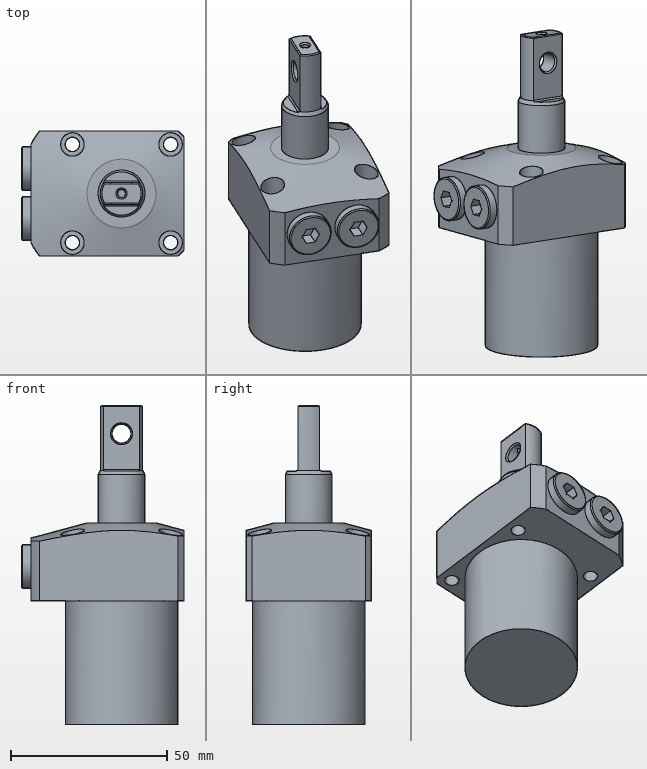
import cadquery as cq
import math

TOTAL_HEIGHT = 102.0
BARREL_DIAMETER = 36.0
BARREL_LENGTH = 39.5
FLANGE_THICKNESS = 25.0
FLANGE_TOP = BARREL_LENGTH + FLANGE_THICKNESS
FLANGE_LEFT = -29.0
FLANGE_RIGHT = 20.0
FLANGE_HALF_WIDTH = 20.0
LEFT_CORNER_RADIUS = 33.0
RIGHT_CORNER_RADIUS = 27.0

CROWN_FLAT_RADIUS = 11.0
CROWN_SLOPE = math.radians(15.0)
CROWN_MARGIN = 2.0

BOLT_OFFSET = 15.7
BOLT_HOLE_DIAMETER = 4.5
COUNTERBORE_DIAMETER = 7.5
BOLT_SEAT_HEIGHT = BARREL_LENGTH + 15.0

PLUG_DIAMETER = 14.0
PLUG_THICKNESS = 3.0
PLUG_CHAMFER = 0.4
PLUG_OFFSET = 8.0
PLUG_CENTRES = (-PLUG_OFFSET, PLUG_OFFSET)
PLUG_HEIGHT = BARREL_LENGTH + 11.0
HEX_SIDES = 6
HEX_ACROSS_FLATS = 5.0
HEX_DEPTH = 5.0
SHANK_DIAMETER = 10.0
SHANK_LENGTH = 8.0

ROD_RADIUS = 7.5
HEAD_RADIUS = 6.75
SHOULDER_START = 80.0
TAPER_ANGLE = math.radians(30.0)
SHOULDER_END = SHOULDER_START + (ROD_RADIUS - HEAD_RADIUS) / math.tan(TAPER_ANGLE)
TIP_CHAMFER_WIDTH = 0.5
TIP_CHAMFER_HEIGHT = TIP_CHAMFER_WIDTH * math.tan(TAPER_ANGLE)
TONGUE_HALF_THICKNESS = 3.5
TONGUE_BASE = 81.0
TONGUE_ROOT_BEVEL = 0.5
CROSS_HOLE_DIAMETER = 6.0
CROSS_HOLE_HEIGHT = 93.0
CROSS_HOLE_CHAMFER = 0.5
TIP_HOLE_DIAMETER = 2.5
TIP_HOLE_CHAMFER = 0.5
CHAMFER_ANGLE_DEGREES = 45.0


def flange_outline():
    """Rectangle whose four corners are cut by arcs about the rod axis."""
    left_y = math.sqrt(LEFT_CORNER_RADIUS**2 - FLANGE_LEFT**2)
    left_x = -math.sqrt(LEFT_CORNER_RADIUS**2 - FLANGE_HALF_WIDTH**2)
    right_y = math.sqrt(RIGHT_CORNER_RADIUS**2 - FLANGE_RIGHT**2)
    right_x = math.sqrt(RIGHT_CORNER_RADIUS**2 - FLANGE_HALF_WIDTH**2)

    def corner_middle(radius, x_sum, y_sum):
        """Middle of an arc about the rod axis, along the sum of its two end points."""
        length = math.hypot(x_sum, y_sum)
        return (radius * x_sum / length, radius * y_sum / length)

    left_sums = (FLANGE_LEFT + left_x, FLANGE_HALF_WIDTH + left_y)
    right_sums = (FLANGE_RIGHT + right_x, FLANGE_HALF_WIDTH + right_y)
    left_mid_x, left_mid_y = corner_middle(LEFT_CORNER_RADIUS, *left_sums)
    right_mid_x, right_mid_y = corner_middle(RIGHT_CORNER_RADIUS, *right_sums)
    return (
        cq.Workplane("XY", origin=(0, 0, BARREL_LENGTH))
        .moveTo(left_x, -FLANGE_HALF_WIDTH)
        .lineTo(right_x, -FLANGE_HALF_WIDTH)
        .threePointArc((right_mid_x, -right_mid_y), (FLANGE_RIGHT, -right_y))
        .lineTo(FLANGE_RIGHT, right_y)
        .threePointArc((right_mid_x, right_mid_y), (right_x, FLANGE_HALF_WIDTH))
        .lineTo(left_x, FLANGE_HALF_WIDTH)
        .threePointArc((left_mid_x, left_mid_y), (FLANGE_LEFT, left_y))
        .lineTo(FLANGE_LEFT, -left_y)
        .threePointArc((left_mid_x, -left_mid_y), (left_x, -FLANGE_HALF_WIDTH))
        .close()
    )


def crown_envelope():
    """Solid of revolution whose top is flat in the middle and conical outside."""
    outer_radius = LEFT_CORNER_RADIUS + CROWN_MARGIN
    rim_height = FLANGE_TOP - (outer_radius - CROWN_FLAT_RADIUS) * math.tan(CROWN_SLOPE)
    return (
        cq.Workplane("XZ")
        .polyline([
            (0, 0),
            (outer_radius, 0),
            (outer_radius, rim_height),
            (CROWN_FLAT_RADIUS, FLANGE_TOP),
            (0, FLANGE_TOP),
        ])
        .close()
        .revolve(360, (0, 0, 0), (0, 1, 0))
    )


def port_plane(y):
    """Plane on the port face at a plug centre, with its normal pointing out along -X."""
    return cq.Plane(origin=(FLANGE_LEFT, y, PLUG_HEIGHT), xDir=(0, -1, 0), normal=(-1, 0, 0))


def port_shank(y):
    """Cylinder inside the flange: the shank of a plug and also the port it fills."""
    return cq.Workplane(port_plane(y)).circle(SHANK_DIAMETER / 2).extrude(-SHANK_LENGTH)


def make_housing():
    """Barrel and crowned flange with four counterbored bolt holes and two ports."""
    flange = flange_outline().extrude(FLANGE_THICKNESS).intersect(crown_envelope())
    barrel = cq.Workplane("XY").circle(BARREL_DIAMETER / 2).extrude(BARREL_LENGTH)
    bolt_pattern = [(x, y) for x in (-BOLT_OFFSET, BOLT_OFFSET) for y in (-BOLT_OFFSET, BOLT_OFFSET)]
    bolt_holes = (
        cq.Workplane("XY", origin=(0, 0, BARREL_LENGTH))
        .pushPoints(bolt_pattern)
        .circle(BOLT_HOLE_DIAMETER / 2)
        .extrude(FLANGE_THICKNESS)
    )
    counterbores = (
        cq.Workplane("XY", origin=(0, 0, BOLT_SEAT_HEIGHT))
        .pushPoints(bolt_pattern)
        .circle(COUNTERBORE_DIAMETER / 2)
        .extrude(FLANGE_TOP - BOLT_SEAT_HEIGHT)
    )
    housing = flange.union(barrel).cut(bolt_holes).cut(counterbores)
    for y in PLUG_CENTRES:
        housing = housing.cut(port_shank(y))
    return housing


def make_plug(y):
    """Round port plug: a chamfered head with a hexagon socket, and a shank in the port."""
    hex_across_corners = HEX_ACROSS_FLATS / math.cos(math.pi / HEX_SIDES)
    head = (
        cq.Workplane(port_plane(y))
        .circle(PLUG_DIAMETER / 2)
        .extrude(PLUG_THICKNESS)
        .faces("<X")
        .chamfer(PLUG_CHAMFER)
    )
    socket = (
        cq.Workplane(port_plane(y))
        .workplane(offset=PLUG_THICKNESS)
        .polygon(HEX_SIDES, hex_across_corners)
        .extrude(-HEX_DEPTH)
    )
    return head.union(port_shank(y)).cut(socket)


def turned_rod():
    """Stepped round rod standing on the crown."""
    return (
        cq.Workplane("XZ")
        .polyline([
            (0, FLANGE_TOP),
            (ROD_RADIUS, FLANGE_TOP),
            (ROD_RADIUS, SHOULDER_START),
            (HEAD_RADIUS, SHOULDER_END),
            (HEAD_RADIUS, TOTAL_HEIGHT - TIP_CHAMFER_HEIGHT),
            (HEAD_RADIUS - TIP_CHAMFER_WIDTH, TOTAL_HEIGHT),
            (0, TOTAL_HEIGHT),
        ])
        .close()
        .revolve(360, (0, 0, 0), (0, 1, 0))
    )


def tongue_flat(side):
    """Material milled from one side (+1 or -1 in Y) to leave the flat tongue."""
    face = TONGUE_HALF_THICKNESS
    profile = [
        (ROD_RADIUS, TONGUE_BASE),
        (face + TONGUE_ROOT_BEVEL, TONGUE_BASE),
        (face, TONGUE_BASE + TONGUE_ROOT_BEVEL),
        (face, TOTAL_HEIGHT - TIP_CHAMFER_HEIGHT),
        (face - TIP_CHAMFER_WIDTH, TOTAL_HEIGHT),
        (ROD_RADIUS, TOTAL_HEIGHT),
    ]
    return (
        cq.Workplane("YZ")
        .polyline([(side * y, z) for y, z in profile])
        .close()
        .extrude(ROD_RADIUS, both=True)
    )


def countersunk_hole(plane, diameter, chamfer, depth):
    """Cutter for a hole that starts at the plane with a chamfer of equal width and depth."""
    hole = cq.Workplane(plane).circle(diameter / 2).extrude(-depth)
    mouth = cq.Workplane(plane).circle(diameter / 2 + chamfer).extrude(-chamfer, taper=CHAMFER_ANGLE_DEGREES)
    return hole.union(mouth)


def make_rod():
    """Rod with a flat tongue, a cross hole and an axial hole that meets it."""
    rod = turned_rod()
    for side in (-1, 1):
        rod = rod.cut(tongue_flat(side))
        flat_plane = cq.Plane(
            origin=(0, side * TONGUE_HALF_THICKNESS, CROSS_HOLE_HEIGHT),
            xDir=(1, 0, 0),
            normal=(0, side, 0),
        )
        rod = rod.cut(countersunk_hole(
            flat_plane, CROSS_HOLE_DIAMETER, CROSS_HOLE_CHAMFER, TONGUE_HALF_THICKNESS))
    tip_plane = cq.Plane(origin=(0, 0, TOTAL_HEIGHT))
    tip_hole_depth = TOTAL_HEIGHT - CROSS_HOLE_HEIGHT
    return rod.cut(countersunk_hole(tip_plane, TIP_HOLE_DIAMETER, TIP_HOLE_CHAMFER, tip_hole_depth))


housing = make_housing()
rod = make_rod()
plugs = [make_plug(y) for y in PLUG_CENTRES]

result = cq.Compound.makeCompound([housing.val(), rod.val(), *[plug.val() for plug in plugs]])